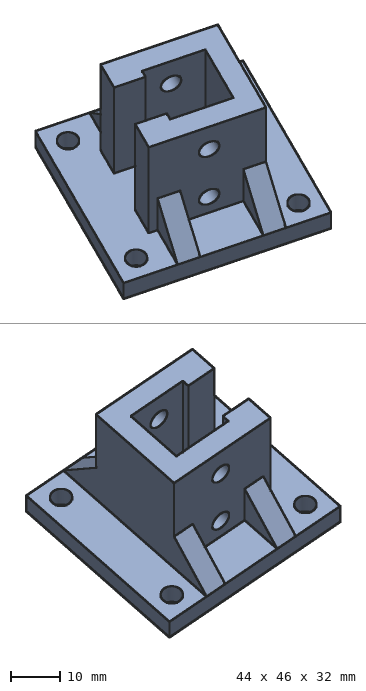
import cadquery as cq

BASE_X = 44.0
BASE_Y = 46.0
PLATE = 5.0
HOLE_DIAMETER = 4.5
HOLE_INSET = 5.0

TOTAL_HEIGHT = 32.0
SOCKET_X = 24.0
SOCKET_Y = 26.0
POCKET = 14.0
SLOT_WIDTH = 10.6

CROSS_HOLE_HEIGHTS = (10.0, 25.0)
CROSS_HOLE_Y = 0.4

RIB_HEIGHT = 10.0

socket_height = TOTAL_HEIGHT - PLATE
socket_back = SOCKET_Y / 2
pocket_back = socket_back - PLATE
pocket_front = pocket_back - POCKET


def block(x_size, y_min, y_max, z_min, height):
    """Box centred in X between two Y positions."""
    return (
        cq.Workplane("XY", origin=(0, (y_min + y_max) / 2, z_min))
        .box(x_size, y_max - y_min, height, centered=(True, True, False))
    )


def base_plate():
    spacing_x = BASE_X - 2 * HOLE_INSET
    spacing_y = BASE_Y - 2 * HOLE_INSET
    return (
        block(BASE_X, -BASE_Y / 2, BASE_Y / 2, 0, PLATE)
        .faces(">Z").workplane()
        .rarray(spacing_x, spacing_y, 2, 2)
        .hole(HOLE_DIAMETER)
    )


def rib_pair(y_back):
    """Ribs on both sides, sloping from the plate edges up to the socket.

    The profile runs through the socket area; the pocket cut clears its middle.
    """
    return (
        cq.Workplane("XZ", origin=(0, y_back, PLATE))
        .polyline([
            (-BASE_X / 2, 0),
            (BASE_X / 2, 0),
            (SOCKET_X / 2, RIB_HEIGHT),
            (-SOCKET_X / 2, RIB_HEIGHT),
        ])
        .close()
        .extrude(PLATE)
    )


def cross_holes():
    return (
        cq.Workplane("YZ", origin=(-SOCKET_X / 2, 0, 0))
        .pushPoints([(CROSS_HOLE_Y, height) for height in CROSS_HOLE_HEIGHTS])
        .circle(HOLE_DIAMETER / 2)
        .extrude(SOCKET_X)
    )


socket = block(SOCKET_X, -socket_back, socket_back, PLATE, socket_height)
pocket = block(POCKET, pocket_front, pocket_back, PLATE, socket_height)
slot = block(SLOT_WIDTH, -socket_back, pocket_front, PLATE, socket_height)

result = (
    base_plate()
    .union(socket)
    .union(rib_pair(socket_back))
    .union(rib_pair(pocket_front))
    .cut(pocket)
    .cut(slot)
    .cut(cross_holes())
)